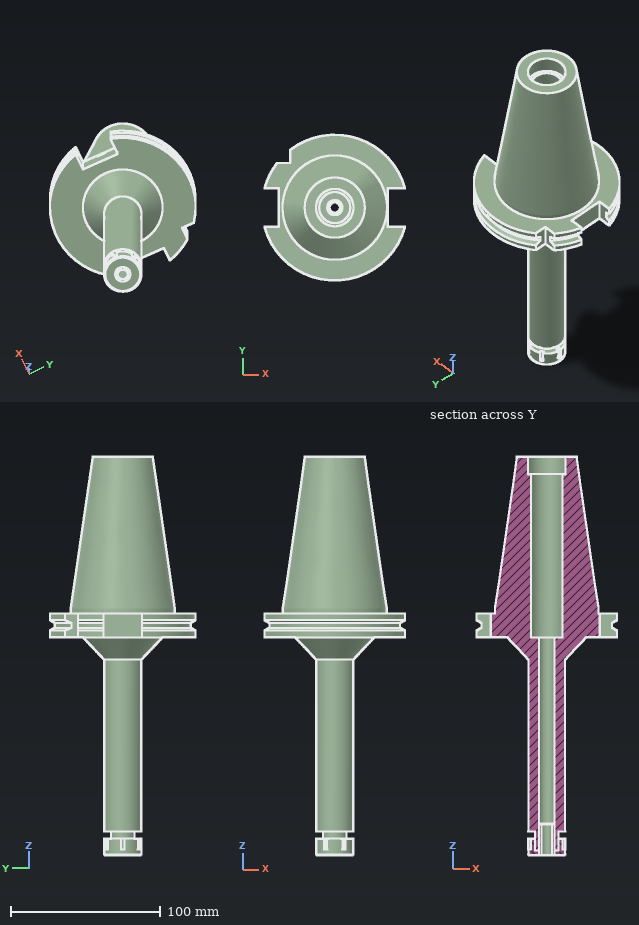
import cadquery as cq
import math

TOTAL_LENGTH = 266.8
TAPER_LENGTH = 101.5
GAUGE_Z = TOTAL_LENGTH - TAPER_LENGTH

GAUGE_RADIUS = 35.0
TAPER_RATIO = 7 / 24
TAPER_TIP_RADIUS = GAUGE_RADIUS - TAPER_LENGTH * TAPER_RATIO / 2

FLANGE_RADIUS = 48.8
FLANGE_HEIGHT = 16
FLANGE_TOP = GAUGE_Z - 3.2
FLANGE_BOTTOM = FLANGE_TOP - FLANGE_HEIGHT
GROOVE_Z = (FLANGE_TOP + FLANGE_BOTTOM) / 2
GROOVE_FLOOR_WIDTH = 3.2
GROOVE_DEPTH = 3.2
GROOVE_FLANK_ANGLE = 30
GROOVE_MOUTH_WIDTH = GROOVE_FLOOR_WIDTH + 2 * GROOVE_DEPTH * math.tan(math.radians(GROOVE_FLANK_ANGLE))

DRIVE_SLOT_WIDTH = 25.5
DRIVE_SLOT_FLOOR_LEFT = 37.5
DRIVE_SLOT_FLOOR_RIGHT = 35.5
NOTCH_OFFSET = 30.0

SHANK_RADIUS = 12.5
SHOULDER_RADIUS = 26.7
SHOULDER_HEIGHT = 15.0
SHANK_TOP = FLANGE_BOTTOM - SHOULDER_HEIGHT

NUT_RADIUS = SHANK_RADIUS
NUT_HEIGHT = 11.2
NUT_CHAMFER = 0.8
NUT_SLOT_COUNT = 6
NUT_SLOT_WIDTH = 2.5
NUT_SLOT_HEIGHT = 7.2
NUT_SLOT_DEPTH = 2.0
NUT_GAP = 4.8
SHANK_BOTTOM = NUT_HEIGHT + NUT_GAP

NECK_RADIUS = 8
NECK_BOTTOM = 3.2

DRAWBAR_BORE_RADIUS = SHANK_RADIUS
DRAWBAR_BORE_DEPTH = 11.7
THREAD_BORE_RADIUS = 10.5
THREAD_BORE_BOTTOM = FLANGE_BOTTOM
THROUGH_BORE_RADIUS = 5.0

COLLET_RADIUS = THROUGH_BORE_RADIUS
COLLET_BORE_RADIUS = 3.5
COLLET_LENGTH = 21.3
COLLET_MOUTH_CHAMFER = 0.8


def cylinder(radius, bottom, top):
    return cq.Workplane("XY").workplane(offset=bottom).circle(radius).extrude(top - bottom)


def make_outer_body():
    """Taper, grooved flange, shoulder, shank and neck as one turned profile."""
    groove_radius = FLANGE_RADIUS - GROOVE_DEPTH
    profile = [
        (0, TOTAL_LENGTH),
        (TAPER_TIP_RADIUS, TOTAL_LENGTH),
        (GAUGE_RADIUS, GAUGE_Z),
        (GAUGE_RADIUS, FLANGE_TOP),
        (FLANGE_RADIUS, FLANGE_TOP),
        (FLANGE_RADIUS, GROOVE_Z + GROOVE_MOUTH_WIDTH / 2),
        (groove_radius, GROOVE_Z + GROOVE_FLOOR_WIDTH / 2),
        (groove_radius, GROOVE_Z - GROOVE_FLOOR_WIDTH / 2),
        (FLANGE_RADIUS, GROOVE_Z - GROOVE_MOUTH_WIDTH / 2),
        (FLANGE_RADIUS, FLANGE_BOTTOM),
        (SHOULDER_RADIUS, FLANGE_BOTTOM),
        (SHANK_RADIUS, SHANK_TOP),
        (SHANK_RADIUS, SHANK_BOTTOM),
        (NECK_RADIUS, SHANK_BOTTOM),
        (NECK_RADIUS, NECK_BOTTOM),
        (0, NECK_BOTTOM),
    ]
    return cq.Workplane("YZ").polyline(profile).close().revolve(360, (0, 0), (0, 1))


def flange_cutter(x_min, x_max, y_min, y_max):
    """Block as high as the flange, for cutting its rim."""
    return (
        cq.Workplane("XY")
        .workplane(offset=FLANGE_BOTTOM)
        .center((x_min + x_max) / 2, (y_min + y_max) / 2)
        .rect(x_max - x_min, y_max - y_min)
        .extrude(FLANGE_HEIGHT)
    )


def make_holder():
    half_slot = DRIVE_SLOT_WIDTH / 2
    left_slot = flange_cutter(-FLANGE_RADIUS, -DRIVE_SLOT_FLOOR_LEFT, -half_slot, half_slot)
    right_slot = flange_cutter(DRIVE_SLOT_FLOOR_RIGHT, FLANGE_RADIUS, -half_slot, half_slot)
    notch = flange_cutter(-FLANGE_RADIUS, -NOTCH_OFFSET, NOTCH_OFFSET, FLANGE_RADIUS)
    drawbar_bore = cylinder(DRAWBAR_BORE_RADIUS, TOTAL_LENGTH - DRAWBAR_BORE_DEPTH, TOTAL_LENGTH)
    thread_bore = cylinder(THREAD_BORE_RADIUS, THREAD_BORE_BOTTOM, TOTAL_LENGTH)
    through_bore = cylinder(THROUGH_BORE_RADIUS, NECK_BOTTOM, TOTAL_LENGTH)
    holder = make_outer_body().cut(left_slot).cut(right_slot).cut(notch)
    return holder.cut(drawbar_bore).cut(thread_bore).cut(through_bore)


def make_nut():
    """Cap nut around the neck, with spanner slots open to its top face."""
    nut = cylinder(NUT_RADIUS, 0, NUT_HEIGHT).faces("<Z").edges().chamfer(NUT_CHAMFER)
    nut = nut.cut(cylinder(NECK_RADIUS, NECK_BOTTOM, NUT_HEIGHT))
    nut = nut.cut(cylinder(COLLET_RADIUS, 0, NECK_BOTTOM))
    slots = (
        cq.Workplane("XY")
        .workplane(offset=NUT_HEIGHT - NUT_SLOT_HEIGHT)
        .polarArray(NUT_RADIUS, 0, 360, NUT_SLOT_COUNT)
        .rect(2 * NUT_SLOT_DEPTH, NUT_SLOT_WIDTH)
        .extrude(NUT_SLOT_HEIGHT)
    )
    return nut.cut(slots)


def make_collet():
    """Sleeve flush with the nut's bottom face, its bore chamfered at the upper mouth."""
    collet = cylinder(COLLET_RADIUS, 0, COLLET_LENGTH)
    collet = collet.cut(cylinder(COLLET_BORE_RADIUS, 0, COLLET_LENGTH))
    bore_mouth = cq.selectors.RadiusNthSelector(0)
    return collet.faces(">Z").edges(bore_mouth).chamfer(COLLET_MOUTH_CHAMFER)


holder = make_holder()
nut = make_nut()
collet = make_collet()

result = cq.Compound.makeCompound([holder.val(), nut.val(), collet.val()])